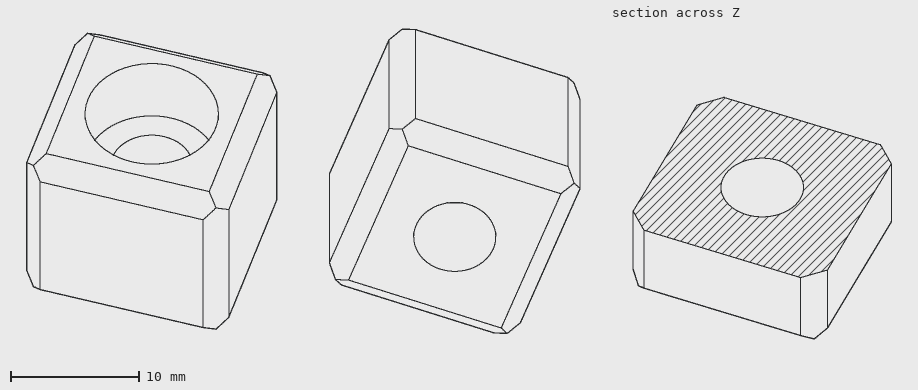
import cadquery as cq

length_x = 16.5
width_y = 15.9
height_z = 16.0
edge_chamfer = 1.6

counterbore_diameter = 10.4
counterbore_depth = 6.2
through_diameter = 6.4


def bevelled_block(axis):
    """Full block with only the four edges parallel to the axis bevelled."""
    block = cq.Workplane("XY").box(length_x, width_y, height_z)
    return block.edges("|" + axis).chamfer(edge_chamfer)


block = bevelled_block("X").intersect(bevelled_block("Y")).intersect(bevelled_block("Z"))

result = block.faces(">Z").workplane(origin=(0, 0, 0)).cboreHole(
    through_diameter, counterbore_diameter, counterbore_depth
)